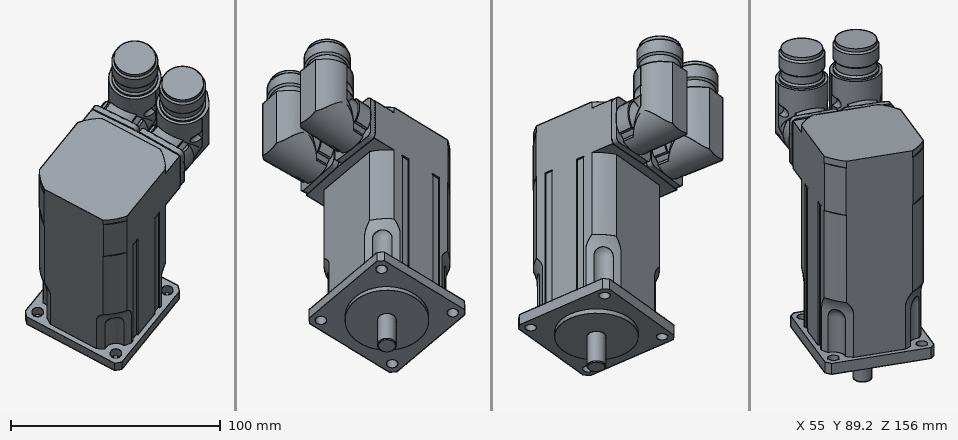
import cadquery as cq
import math


overall_height = 156

flange_side = 55.0
flange_thickness = 6.0
flange_corner_cut = 2.5
pilot_diameter = 40.0
pilot_height = 2.5
shaft_diameter = 9.0
shaft_length = 20.0
shaft_chamfer = 0.5
screw_pitch = 44.6
screw_hole_diameter = 5.5

body_side = 50.0
body_top = 112.2
body_turned_radius = 60.2 / 2
waist_radius = 28.2
waist_top = 28.7
waist_blend_top = 36.0
screw_channel_radius = 6.0
screw_channel_top = 25.3

groove_center_y = 9.5
groove_width = 4.2
groove_depth = 0.8

box_bottom = 83.0
box_top = 108.5
box_corner_cut = 8.1
box_ridge_y = 30.0
tilt = 2.0

plug_spacing = 27.3
plug_y = 49.0
neck_z = 96.3

elbow_top = 119.7
shell_radius = 12.6
shell_reach = 12.5
bend_radius = 26.0 / 2
elbow_base = neck_z - 2 * bend_radius
shell_front_y = -1.4
shell_front_bottom = neck_z + 0.6
core_radius = 12.5
slot_diameter = 5.5
slot_z = 106.0

neck_radius = 12.0
collar_back_y = -9.0
collar_notch_x = 7.3
collar_notch_z = 7.6
plate_width = 25.3
plate_height = 26.0
plate_thickness = 3.0
plate_corner_radius = 2.7

plug_top = overall_height - shaft_length
plug_radius = 10.0
ring_radius = 22.0 / 2
ring_step = 1.0
base_ring_top = 120.6
ring_bottom = 125.5
ring_top = 134.3

tilt_rad = math.radians(tilt)
plug_x = plug_spacing / 2
plate_distance = (plug_y - box_ridge_y + plug_x * math.tan(tilt_rad)) * math.cos(tilt_rad)


def motor_body():
    """Square body with turned corners and a narrower waist, split where the terminal box goes."""
    square = (
        cq.Workplane("XY")
        .workplane(offset=flange_thickness)
        .rect(body_side, body_side)
        .extrude(body_top - flange_thickness)
    )
    envelope = (
        cq.Workplane("XZ")
        .moveTo(0, 0)
        .lineTo(waist_radius, 0)
        .lineTo(waist_radius, waist_top)
        .tangentArcPoint((body_turned_radius, waist_blend_top), relative=False)
        .lineTo(body_turned_radius, body_top)
        .lineTo(0, body_top)
        .close()
        .revolve(360, (0, 0, 0), (0, 1, 0))
    )
    box_zone = (
        cq.Workplane("XY")
        .workplane(offset=box_bottom)
        .rect(flange_side, flange_side)
        .extrude(box_top - box_bottom)
    )
    return square.intersect(envelope).cut(box_zone)


def terminal_box():
    """Box around the body top: front corners cut, rear face a V with its ridge at X = 0."""
    half = body_side / 2
    side_rear_y = box_ridge_y - half * math.tan(tilt_rad)
    return (
        cq.Workplane("XY")
        .workplane(offset=box_bottom)
        .moveTo(-half + box_corner_cut, -half)
        .lineTo(half - box_corner_cut, -half)
        .lineTo(half, -half + box_corner_cut)
        .lineTo(half, side_rear_y)
        .lineTo(0, box_ridge_y)
        .lineTo(-half, side_rear_y)
        .lineTo(-half, -half + box_corner_cut)
        .close()
        .extrude(box_top - box_bottom)
    )


def side_grooves():
    """Two shallow grooves in each X side, from the flange up to the terminal box."""
    height = box_bottom - flange_thickness
    return (
        cq.Workplane("XY")
        .workplane(offset=flange_thickness)
        .pushPoints([(x * body_side / 2, y * groove_center_y) for x in (-1, 1) for y in (-1, 1)])
        .rect(2 * groove_depth, groove_width)
        .extrude(height)
    )


def screw_channels():
    """Round-ended channels in the body corners, giving room for the flange screws."""
    length = screw_channel_top - flange_thickness
    channel = cq.Workplane("XY").circle(screw_channel_radius).extrude(-length)
    round_end = cq.Workplane("XY").sphere(screw_channel_radius, angle1=0, angle2=90)
    channel = channel.union(round_end)
    return (
        cq.Workplane("XY")
        .workplane(offset=screw_channel_top)
        .rect(screw_pitch, screw_pitch, forConstruction=True)
        .vertices()
        .eachpoint(channel.val())
    )


def flange():
    """Mounting flange with cut corners and four screw holes."""
    return (
        cq.Workplane("XY")
        .rect(flange_side, flange_side)
        .extrude(flange_thickness)
        .edges("|Z")
        .chamfer(flange_corner_cut)
        .faces(">Z")
        .workplane()
        .rect(screw_pitch, screw_pitch, forConstruction=True)
        .vertices()
        .hole(screw_hole_diameter)
    )


def pilot_and_shaft():
    """Centring pilot and shaft below the flange."""
    pilot = cq.Workplane("XY").circle(pilot_diameter / 2).extrude(-pilot_height)
    shaft = cq.Workplane("XY").circle(shaft_diameter / 2).extrude(-shaft_length)
    return pilot.union(shaft.faces("<Z").chamfer(shaft_chamfer))


def make_motor():
    """Motor as one solid: body, terminal box, flange, pilot and shaft."""
    body = motor_body().cut(side_grooves()).union(terminal_box()).cut(screw_channels())
    return body.union(flange()).union(pilot_and_shaft())




def along_y(radius, start_y, end_y):
    """Cylinder on the neck axis between two Y positions."""
    return cq.Workplane("XZ", origin=(0, end_y, neck_z)).circle(radius).extrude(end_y - start_y)


def elbow_envelope():
    """Space for the elbow: round below the neck axis, straight-sided above it."""
    width = 4 * bend_radius
    round_bottom = along_y(bend_radius, -width / 2, width / 2)
    upper_half = (
        cq.Workplane("XY").workplane(offset=neck_z).rect(width, width).extrude(elbow_top - neck_z)
    )
    return round_bottom.union(upper_half)


def elbow_shell():
    """Outer half of the elbow: flat-backed outline, cut off at 45 degrees towards the neck."""
    corner = shell_radius / math.sqrt(2)
    flat_half = 2 * corner - shell_reach
    upright = (
        cq.Workplane("XY")
        .workplane(offset=elbow_base)
        .moveTo(-corner, corner)
        .lineTo(-flat_half, shell_reach)
        .lineTo(flat_half, shell_reach)
        .lineTo(corner, corner)
        .threePointArc((0, -shell_radius), (-corner, corner))
        .close()
        .extrude(elbow_top - elbow_base)
    )
    miter_run = shell_front_bottom - elbow_base
    outer_side = (
        cq.Workplane("YZ")
        .moveTo(shell_front_y, elbow_top)
        .lineTo(shell_front_y, shell_front_bottom)
        .lineTo(shell_front_y - miter_run, elbow_base)
        .lineTo(shell_reach, elbow_base)
        .lineTo(shell_reach, elbow_top)
        .close()
        .extrude(2 * shell_radius, both=True)
    )
    return upright.intersect(outer_side)


def elbow_core():
    """Slightly slimmer round core of the elbow, bared on its inner half."""
    return (
        cq.Workplane("XY")
        .workplane(offset=elbow_base)
        .circle(core_radius)
        .extrude(elbow_top - elbow_base)
    )


def screw_slots():
    """Slots along both sides of the core, running from the shell's front edge towards the neck."""
    return (
        cq.Workplane("XZ", origin=(0, shell_front_y, slot_z))
        .pushPoints([(-core_radius, 0), (core_radius, 0)])
        .circle(slot_diameter / 2)
        .extrude(core_radius)
    )


def neck():
    """Round neck to the plate, with a collar notched at its four corners."""
    plate_back_y = plate_thickness - plate_distance
    collar_length = collar_back_y - plate_back_y
    wide_band = (2 * bend_radius, 2 * collar_notch_z)
    tall_band = (2 * collar_notch_x, 2 * bend_radius)
    start = cq.Workplane("XZ", origin=(0, collar_back_y, neck_z))
    cross = start.rect(*wide_band).extrude(collar_length)
    cross = cross.union(start.rect(*tall_band).extrude(collar_length))
    collar = along_y(bend_radius, plate_back_y, collar_back_y).intersect(cross)
    return collar.union(along_y(neck_radius, plate_back_y, 0))


def mounting_plate():
    """Rounded square plate that sits on the terminal box."""
    return (
        cq.Workplane("XZ", origin=(0, plate_thickness - plate_distance, neck_z))
        .rect(plate_width, plate_height)
        .extrude(plate_thickness)
        .edges("|Y")
        .fillet(plate_corner_radius)
    )


def plug():
    """Turned plug with a chamfered base ring and a chamfered grip ring."""
    return (
        cq.Workplane("XZ")
        .moveTo(0, elbow_top)
        .lineTo(ring_radius, elbow_top)
        .lineTo(ring_radius, base_ring_top)
        .lineTo(plug_radius, base_ring_top + ring_step)
        .lineTo(plug_radius, ring_bottom)
        .lineTo(ring_radius, ring_bottom + ring_step)
        .lineTo(ring_radius, ring_top - ring_step)
        .lineTo(plug_radius, ring_top)
        .lineTo(plug_radius, plug_top)
        .lineTo(0, plug_top)
        .close()
        .revolve(360, (0, 0, 0), (0, 1, 0))
    )


def make_connector(side):
    """Angled connector on the box face at the given X side (-1 or 1)."""
    elbow = elbow_core().union(elbow_shell()).intersect(elbow_envelope()).cut(screw_slots())
    connector = elbow.union(neck()).union(mounting_plate()).union(plug())
    turned = connector.rotate((0, 0, 0), (0, 0, 1), -side * tilt)
    return turned.translate((side * plug_x, plug_y, 0))


motor = make_motor()
connectors = [make_connector(side) for side in (-1, 1)]

result = cq.Compound.makeCompound([motor.val(), *[connector.val() for connector in connectors]])